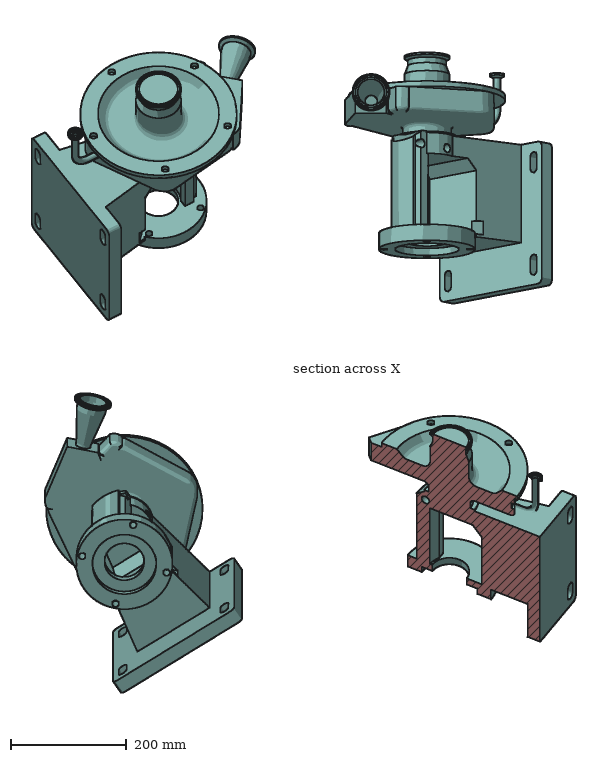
import cadquery as cq
import math


overall_depth = 411.0

plate_size = 250.0
plate_thickness = 25.0
plate_front = -180.0
plate_back = plate_front + plate_thickness
plate_corner_radius = 10.0
slot_length = 35.8
slot_width = 16.0
slot_spacing_x = 209.5
slot_spacing_z = 180.0

bracket_bottom = 77.5
bracket_front = -63.5
arm_bottom = 214.0
arm_start = -14.5
arm_chamfer_width = 17.5
arm_chamfer_height = 19.7
bracket_half_width_at_plate = 74.5
bracket_half_width_at_hub = 48.0
notch_bottom = 83.0
notch_height = 23.5
notch_size = 14.0

hub_radius = 49.7
lip_radius = 50.0
lip_thickness = 2.5
hub_top = 250.7
hub_hole_radius = 7.5
hub_hole_height = 226.0
hub_hole_depth = 16.5

ring_radius = 83.0
ring_bore_radius = 34.0
ring_register_radius = 55.0
ring_register_depth = 12.5
ring_bottom = 55.0
ring_top = notch_bottom
ring_bolt_circle_radius = 74.5
ring_bolt_hole_radius = 5.8
ring_bolt_count = 4
ring_first_bolt_angle = 45.0

post_half_width = 35.0
post_radius = 61.0
post_rib_half_width = 26.7
post_rib_radius = 65.8
post_front = 32.0
post_bore_radius = 38.2
post_chamfer_width = 19.7
post_chamfer_height = 16.0
post_hole_radius = 7.5
post_hole_y = 47.5
post_hole_height = 230.0

flange_radius = 270.0 / 2
flange_top = 324.7
flange_thickness = 9.0
flange_bottom = flange_top - flange_thickness
casing_bottom = 273.0
casing_side_distance = 115.5
casing_corner_radius = 33.7
casing_edge_fillet = 8.2
casing_sides = 5
casing_first_corner_angle = 45.0
casing_bolt_circle_radius = 122.0
casing_bolt_hole_radius = 6.0
swelling_start = (-71.0, 114.5)
swelling_middle = (-65.0, 125.8)
swelling_end = (-55.5, 130.7)
swelling_inner_point = (-28.8, 123.5)
neck_radius = 41.5
neck_fillet = 10.0

recess_radius = 104.5
recess_cone_radius = 93.5
recess_cone_bottom = 313.2
recess_floor_radius = 83.5
recess_floor = 309.5

inlet_radius = 39.0
inlet_foot_fillet = 15.2
inlet_shoulder = 361.7
inlet_neck_radius = 33.5
inlet_neck_bottom = 377.0
inlet_flare_bottom = 386.5
inlet_rim_bottom = 390.0
inlet_top = 394.0

outlet_angle = 135.0
outlet_offset = 95.8
outlet_height = 293.5
block_face = 110.0
block_face_inner_offset = 69.5
block_face_outer_offset = 123.7
block_bend_start = (93.7, 106.5)
block_bend_middle = (99.0, 98.2)
block_bend_end = (101.5, 88.5)
nozzle_root_overlap = 4.0
nozzle_root_radius = 13.0
nozzle_cone_start = 115.0
nozzle_cone_end = 176.8
nozzle_radius = 25.5
nozzle_flare_start = 187.5
nozzle_rim_start = 191.5
nozzle_end = 195.0
nozzle_rim_radius = 32.0
nozzle_wall = 2.5
nozzle_bore_throat_radius = 21.8
nozzle_bore_throat = 169.5
nozzle_bore_step = 183.0

groove_depth = 1.2
inlet_groove_radius = 35.0
inlet_groove_width = 3.3
nozzle_groove_radius = 28.5
nozzle_groove_width = 3.3
pipe_groove_radius = 9.5
pipe_groove_width = 2.0

pipe_radius = 6.0
pipe_bore_radius = 5.0
pipe_height = 296.8
pipe_bend_radius = 26.7
pipe_root_y = -123.5
pipe_top = 386.0
pipe_rim_radius = 12.7
nozzle_far_y = (nozzle_end + outlet_offset + nozzle_rim_radius) * math.sin(math.radians(outlet_angle))
pipe_axis_y = nozzle_far_y - overall_depth + pipe_rim_radius
pipe_rim_thickness = 3.5
pipe_flare_height = 3.3


def cylinder(radius, bottom, top):
    return cq.Workplane("XY").workplane(offset=bottom).circle(radius).extrude(top - bottom)


def on_circle(radius, angle):
    """Point at a radius and an angle in degrees about the pump axis."""
    return radius * math.cos(math.radians(angle)), radius * math.sin(math.radians(angle))


def mounting_plate():
    half = plate_size / 2
    plate = cq.Workplane("XY").box(plate_size, plate_thickness, plate_size)
    plate = plate.edges("|Y").fillet(plate_corner_radius)
    slots = (
        cq.Workplane("XZ")
        .rarray(slot_spacing_x, slot_spacing_z, 2, 2)
        .slot2D(slot_length, slot_width, 90)
        .extrude(plate_thickness, both=True)
    )
    return plate.cut(slots).translate((0, plate_front + plate_thickness / 2, half))


def bracket():
    arm_end = bracket_front + arm_chamfer_width
    profile = (
        cq.Workplane("YZ")
        .moveTo(plate_back, bracket_bottom)
        .lineTo(plate_back, plate_size)
        .lineTo(arm_start, plate_size)
        .lineTo(arm_start, arm_bottom)
        .lineTo(arm_end, arm_bottom)
        .lineTo(bracket_front, arm_bottom - arm_chamfer_height)
        .lineTo(bracket_front, bracket_bottom)
        .close()
        .extrude(bracket_half_width_at_plate, both=True)
    )
    plan = (
        cq.Workplane("XY")
        .polyline([
            (-bracket_half_width_at_plate, plate_back),
            (bracket_half_width_at_plate, plate_back),
            (bracket_half_width_at_hub, arm_start),
            (-bracket_half_width_at_hub, arm_start),
        ])
        .close()
        .extrude(plate_size)
    )
    body = profile.intersect(plan)
    taper = (bracket_half_width_at_plate - bracket_half_width_at_hub) / (arm_start - plate_back)
    notch_back = bracket_front - notch_size
    notch_half_width = bracket_half_width_at_hub + taper * (arm_start - notch_back)
    for side in (-1, 1):
        notch = (
            cq.Workplane("XY")
            .workplane(offset=notch_bottom)
            .moveTo(side * notch_half_width, notch_back)
            .lineTo(side * (notch_half_width - notch_size), bracket_front)
            .lineTo(side * notch_half_width, bracket_front)
            .close()
            .extrude(notch_height)
        )
        body = body.cut(notch)
    return body


def hub():
    return cylinder(hub_radius, arm_bottom, hub_top).union(
        cylinder(lip_radius, hub_top, hub_top + lip_thickness)
    )


def hub_hole():
    return (
        cq.Workplane("YZ", origin=(-hub_radius, 0, hub_hole_height))
        .circle(hub_hole_radius)
        .extrude(hub_hole_depth)
    )


def motor_ring():
    holes = (
        cq.Workplane("XY")
        .workplane(offset=ring_bottom)
        .polarArray(ring_bolt_circle_radius, ring_first_bolt_angle, 360, ring_bolt_count)
        .circle(ring_bolt_hole_radius)
        .extrude(ring_top - ring_bottom)
    )
    ring = cylinder(ring_radius, ring_bottom, ring_top)
    bore = cylinder(ring_bore_radius, ring_bottom, ring_top)
    register = cylinder(ring_register_radius, ring_bottom, ring_bottom + ring_register_depth)
    return ring.cut(bore).cut(register).cut(holes)


def rear_post():
    post_top = hub_top + lip_thickness

    def slice_of_cylinder(half_width, radius):
        strip = (
            cq.Workplane("XY")
            .workplane(offset=ring_top)
            .center(0, post_front + radius / 2)
            .rect(2 * half_width, radius)
            .extrude(post_top - ring_top)
        )
        return strip.intersect(cylinder(radius, ring_top, post_top))

    post = slice_of_cylinder(post_half_width, post_radius)
    post = post.union(slice_of_cylinder(post_rib_half_width, post_rib_radius))
    post = post.cut(cylinder(post_bore_radius, ring_top, arm_bottom))
    chamfer = (
        cq.Workplane("YZ")
        .moveTo(post_rib_radius, post_top)
        .lineTo(post_rib_radius - post_chamfer_width, post_top)
        .lineTo(post_rib_radius, post_top - post_chamfer_height)
        .close()
        .extrude(post_half_width, both=True)
    )
    return post.cut(chamfer)


def post_hole():
    return (
        cq.Workplane("YZ", origin=(0, post_hole_y, post_hole_height))
        .circle(post_hole_radius)
        .extrude(post_half_width, both=True)
    )


def casing_swelling():
    """Rounded swelling of the casing corner beside the outlet channel."""
    return (
        cq.Workplane("XY")
        .workplane(offset=casing_bottom)
        .lineTo(*swelling_start)
        .threePointArc(swelling_middle, swelling_end)
        .lineTo(*swelling_inner_point)
        .close()
        .extrude(flange_bottom - casing_bottom)
    )


def casing():
    corner_distance = casing_side_distance / math.cos(math.pi / casing_sides)
    corners = [
        on_circle(corner_distance, casing_first_corner_angle + 360 / casing_sides * i)
        for i in range(casing_sides)
    ]
    pentagon = (
        cq.Workplane("XY")
        .workplane(offset=casing_bottom)
        .polyline(corners)
        .close()
        .extrude(flange_bottom - casing_bottom)
    )
    body = pentagon.edges("|Z").fillet(casing_corner_radius)
    body = body.union(casing_swelling())
    body = body.faces("<Z").edges().fillet(casing_edge_fillet)
    return body.union(cylinder(flange_radius, flange_bottom, flange_top))


def casing_bolt_holes():
    return (
        cq.Workplane("XY")
        .workplane(offset=flange_bottom)
        .polarArray(casing_bolt_circle_radius, casing_first_corner_angle, 360, casing_sides)
        .circle(casing_bolt_hole_radius)
        .extrude(flange_thickness)
    )


def casing_neck():
    neck_bottom = hub_top + lip_thickness
    return (
        cq.Workplane("XZ")
        .moveTo(0, neck_bottom)
        .lineTo(neck_radius, neck_bottom)
        .lineTo(neck_radius, casing_bottom - neck_fillet)
        .radiusArc((neck_radius + neck_fillet, casing_bottom), neck_fillet)
        .lineTo(0, casing_bottom)
        .close()
        .revolve(360, (0, 0), (0, 1))
    )


def recess():
    slope = math.atan2(flange_top - recess_cone_bottom, recess_radius - recess_cone_radius)
    floor_arc_radius = (recess_cone_radius - recess_floor_radius) / math.sin(slope)
    return (
        cq.Workplane("XZ")
        .moveTo(0, flange_top)
        .lineTo(recess_radius, flange_top)
        .lineTo(recess_cone_radius, recess_cone_bottom)
        .radiusArc((recess_floor_radius, recess_floor), floor_arc_radius)
        .lineTo(0, recess_floor)
        .close()
        .revolve(360, (0, 0), (0, 1))
    )


def inlet_tube():
    return (
        cq.Workplane("XZ")
        .moveTo(0, recess_floor)
        .lineTo(inlet_radius + inlet_foot_fillet, recess_floor)
        .radiusArc((inlet_radius, recess_floor + inlet_foot_fillet), inlet_foot_fillet)
        .lineTo(inlet_radius, inlet_shoulder)
        .lineTo(inlet_neck_radius, inlet_neck_bottom)
        .lineTo(inlet_neck_radius, inlet_flare_bottom)
        .lineTo(inlet_radius, inlet_rim_bottom)
        .lineTo(inlet_radius, inlet_top)
        .lineTo(0, inlet_top)
        .close()
        .revolve(360, (0, 0), (0, 1))
    )


def outlet_point(distance, offset):
    """Plan point at a distance along the outlet direction and an offset square to it."""
    along_x, along_y = on_circle(distance, outlet_angle)
    across_x, across_y = on_circle(offset, outlet_angle - 90)
    return along_x + across_x, along_y + across_y


def outlet_block():
    """Tangential channel that carries the flow from the casing to the nozzle."""
    return (
        cq.Workplane("XY")
        .workplane(offset=casing_bottom)
        .lineTo(*outlet_point(block_face, block_face_inner_offset))
        .lineTo(*outlet_point(block_face, block_face_outer_offset))
        .lineTo(*block_bend_start)
        .threePointArc(block_bend_middle, block_bend_end)
        .close()
        .extrude(flange_bottom - casing_bottom)
    )


def along_outlet(profile):
    """Revolve (radius, distance) points about the outlet axis."""
    turned = cq.Workplane("XZ").polyline(profile).close().revolve(360, (0, 0), (0, 1))
    origin_x, origin_y = outlet_point(0, outlet_offset)
    return (
        turned.rotate((0, 0, 0), (0, 1, 0), 90)
        .rotate((0, 0, 0), (0, 0, 1), outlet_angle)
        .translate((origin_x, origin_y, outlet_height))
    )


def nozzle():
    root = block_face - nozzle_root_overlap
    return along_outlet([
        (0, root),
        (nozzle_root_radius, root),
        (nozzle_root_radius, nozzle_cone_start),
        (nozzle_radius, nozzle_cone_end),
        (nozzle_radius, nozzle_flare_start),
        (nozzle_rim_radius, nozzle_rim_start),
        (nozzle_rim_radius, nozzle_end),
        (0, nozzle_end),
    ])


def nozzle_bore():
    root_radius = nozzle_root_radius - nozzle_wall
    radius = nozzle_radius - nozzle_wall
    return along_outlet([
        (0, block_face),
        (root_radius, block_face),
        (root_radius, nozzle_cone_start),
        (nozzle_bore_throat_radius, nozzle_bore_throat),
        (radius, nozzle_bore_step),
        (radius, nozzle_end),
        (0, nozzle_end),
    ])


def bent_rod(radius):
    """Round rod that leaves the casing, bends up and ends at the pipe top."""
    path = (
        cq.Workplane("YZ")
        .moveTo(pipe_root_y, pipe_height)
        .lineTo(pipe_axis_y + pipe_bend_radius, pipe_height)
        .radiusArc((pipe_axis_y, pipe_height + pipe_bend_radius), pipe_bend_radius)
        .lineTo(pipe_axis_y, pipe_top)
    )
    start = cq.Workplane("XZ", origin=(0, pipe_root_y, pipe_height))
    return start.circle(radius).sweep(path)


def vent_pipe():
    rim_bottom = pipe_top - pipe_rim_thickness
    ferrule = (
        cq.Workplane("XZ")
        .moveTo(0, rim_bottom - pipe_flare_height)
        .lineTo(pipe_radius, rim_bottom - pipe_flare_height)
        .lineTo(pipe_rim_radius, rim_bottom)
        .lineTo(pipe_rim_radius, pipe_top)
        .lineTo(0, pipe_top)
        .close()
        .revolve(360, (0, 0), (0, 1))
        .translate((0, pipe_axis_y, 0))
    )
    return bent_rod(pipe_radius).union(ferrule)


def groove_profile(radius, width, face):
    """Rectangular groove section sunk below an end face, as (radius, height) points."""
    inner = radius - width / 2
    outer = radius + width / 2
    floor = face - groove_depth
    return [(inner, floor), (outer, floor), (outer, face), (inner, face)]


def upright_groove(radius, width, face):
    profile = cq.Workplane("XZ").polyline(groove_profile(radius, width, face)).close()
    return profile.revolve(360, (0, 0), (0, 1))


def gasket_grooves():
    inlet = upright_groove(inlet_groove_radius, inlet_groove_width, inlet_top)
    outlet = along_outlet(groove_profile(nozzle_groove_radius, nozzle_groove_width, nozzle_end))
    pipe = upright_groove(pipe_groove_radius, pipe_groove_width, pipe_top)
    return inlet.union(outlet).union(pipe.translate((0, pipe_axis_y, 0)))


frame = mounting_plate().union(bracket()).union(hub()).union(motor_ring()).union(rear_post())
frame = frame.cut(hub_hole()).cut(post_hole())

pump = casing().union(outlet_block()).cut(recess()).cut(casing_bolt_holes())
pump = pump.union(casing_neck()).union(inlet_tube())
pump = pump.union(nozzle()).cut(nozzle_bore())
pump = pump.union(vent_pipe()).cut(bent_rod(pipe_bore_radius)).cut(gasket_grooves())

result = frame.union(pump)